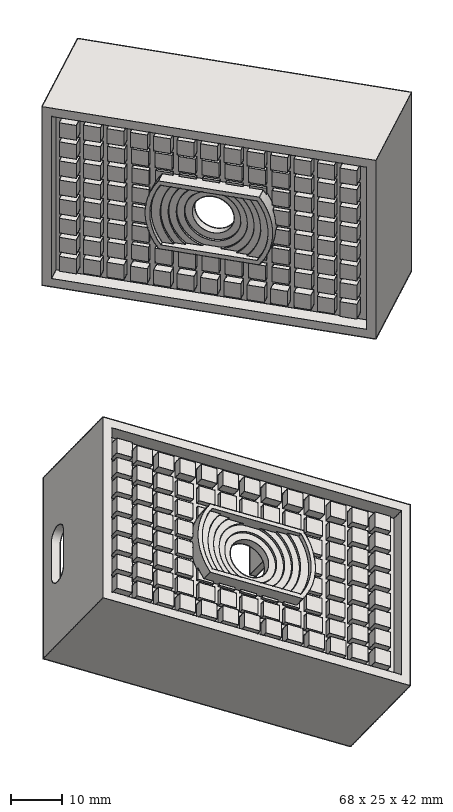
import cadquery as cq

LENGTH = 68.0
DEPTH = 25.0
HEIGHT = 42.0
WALL = 2.0
FRONT = -DEPTH / 2
BACK = DEPTH / 2

PANEL_SETBACK = 3.2
PANEL_THICKNESS = 1.6
PANEL_FRONT = FRONT + PANEL_SETBACK
PANEL_BACK = PANEL_FRONT + PANEL_THICKNESS

PAD_COLUMNS = 13
PAD_ROWS = 8
PAD_SIZE = 3.5
GRID_LENGTH = 60.6
GRID_HEIGHT = 34.9
PAD_PITCH_X = (GRID_LENGTH - PAD_SIZE) / (PAD_COLUMNS - 1)
PAD_PITCH_Z = (GRID_HEIGHT - PAD_SIZE) / (PAD_ROWS - 1)
GRID_SHIFT_X = -0.35

END_COLUMN_SETBACK = 0.6
COLUMN_SETBACK_STEP = 0.55
END_ROW_SETBACK = 1.2
ROW_SETBACK_STEP = 0.95
DEEPEST_SETBACK = 2.65

BOSS_DIAMETER = 26.0
BOSS_FLATS = 15.9
BOSS_RIM = 0.95
BORE_DIAMETER = 8.5
STEP_COUNT = 4
STEP_GROWTH = 3.0
STEP_DEPTH = 0.5
FUNNEL_DIAMETER = BOSS_DIAMETER - 2 * BOSS_RIM
FUNNEL_FLATS = BOSS_FLATS - 2 * BOSS_RIM
RIM_DEPTH = 2 * STEP_DEPTH

SLOT_WIDTH = 5.0
SLOT_HEIGHT = 13.0
SLOT_BACK_MARGIN = 3.5
SLOT_Y = BACK - SLOT_BACK_MARGIN - SLOT_WIDTH / 2

POST_DIAMETER = 6.0
POST_SPACING = 40.8
POST_BACK_MARGIN = 3.9
POST_END = BACK - POST_BACK_MARGIN

RIB_THICKNESS = 1.35
RIB_INNER_X = 9.65
RIB_GAP = 18.8
RIB_END = POST_END


def block(x_size, y_start, y_end, z_size, x=0, z=0):
    """Box centred on (x, z), running from y_start to y_end."""
    depth = y_end - y_start
    return cq.Workplane("XY").box(x_size, depth, z_size).translate((x, (y_start + y_end) / 2, z))


def cylinder(diameter, y_start, y_end, x=0):
    """Cylinder along Y, from y_start to y_end, centred on z = 0."""
    plane = cq.Workplane("XZ", origin=(x, y_start, 0))
    return plane.circle(diameter / 2).extrude(y_start - y_end)


def flatted_disc(diameter, flats, y_start, y_end):
    """Disc along Y, trimmed to a top and a bottom flat."""
    return cylinder(diameter, y_start, y_end).intersect(block(diameter, y_start, y_end, flats))


def centred(index, count, pitch):
    """Position of one item in an evenly spaced line centred on zero."""
    return (index - (count - 1) / 2) * pitch


def make_shell():
    """Box with the front panel inside it, open at the back."""
    inner_length = LENGTH - 2 * WALL
    inner_height = HEIGHT - 2 * WALL
    shell = block(LENGTH, FRONT, BACK, HEIGHT)
    shell = shell.cut(block(inner_length, FRONT, PANEL_FRONT, inner_height))
    return shell.cut(block(inner_length, PANEL_BACK, BACK, inner_height))


def pad_setback(column, row):
    """Distance from the rim back to the face of one pad."""
    columns_from_end = min(column, PAD_COLUMNS - 1 - column)
    column_setback = END_COLUMN_SETBACK + columns_from_end * COLUMN_SETBACK_STEP
    rows_from_end = min(row, PAD_ROWS - 1 - row)
    row_setback = END_ROW_SETBACK + rows_from_end * ROW_SETBACK_STEP
    return min(column_setback, row_setback, DEEPEST_SETBACK)


def make_pads():
    """All square pads, standing on the panel."""
    pads = cq.Workplane("XY")
    for column in range(PAD_COLUMNS):
        x = GRID_SHIFT_X + centred(column, PAD_COLUMNS, PAD_PITCH_X)
        for row in range(PAD_ROWS):
            z = centred(row, PAD_ROWS, PAD_PITCH_Z)
            face = FRONT + pad_setback(column, row)
            pads.add(block(PAD_SIZE, face, PANEL_FRONT, PAD_SIZE, x, z))
    return pads.combine()


def make_funnel():
    """Stepped hollow, each step narrower and deeper, ending in the bore."""
    funnel = flatted_disc(FUNNEL_DIAMETER, FUNNEL_FLATS, FRONT, FRONT + RIM_DEPTH)
    for step in range(1, STEP_COUNT + 1):
        diameter = BORE_DIAMETER + (STEP_COUNT + 1 - step) * STEP_GROWTH
        flats = min(FUNNEL_FLATS, diameter)
        funnel = funnel.union(flatted_disc(diameter, flats, FRONT, FRONT + RIM_DEPTH + step * STEP_DEPTH))
    return funnel.union(cylinder(BORE_DIAMETER, FRONT, PANEL_BACK))


def make_slot():
    """Slot along Z through the -X wall only."""
    plane = cq.Workplane("YZ", origin=(-LENGTH / 2, SLOT_Y, 0))
    return plane.slot2D(SLOT_HEIGHT, SLOT_WIDTH, 90).extrude(WALL)


def make_ribs():
    """Ribs either side of the bore, with an open gap at mid-height."""
    ribs = cq.Workplane("XY")
    for side in (-1, 1):
        x = side * (RIB_INNER_X + RIB_THICKNESS / 2)
        ribs = ribs.union(block(RIB_THICKNESS, PANEL_BACK, RIB_END, HEIGHT - WALL, x))
    return ribs.cut(block(LENGTH, PANEL_BACK, RIB_END, RIB_GAP))


def make_boss():
    return flatted_disc(BOSS_DIAMETER, BOSS_FLATS, FRONT, PANEL_FRONT)


def make_posts():
    """One post either side of the bore."""
    half_spacing = POST_SPACING / 2
    left = cylinder(POST_DIAMETER, PANEL_BACK, POST_END, -half_spacing)
    right = cylinder(POST_DIAMETER, PANEL_BACK, POST_END, half_spacing)
    return left.add(right)


result = make_shell().union(make_pads()).union(make_boss())
result = result.cut(make_funnel()).cut(make_slot())
result = result.union(make_posts()).union(make_ribs())